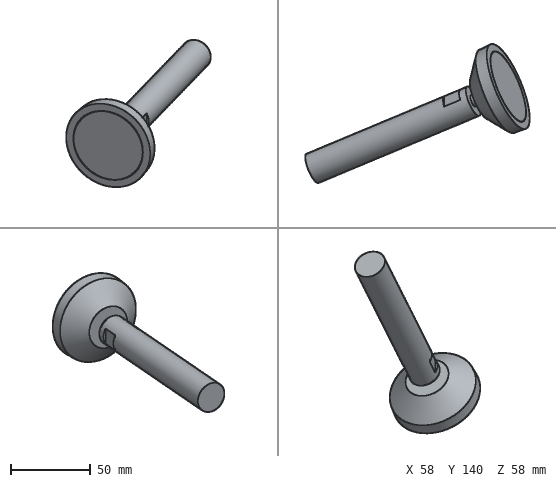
import cadquery as cq

total_length = 140.0

foot_diameter = 58.0
rim_top_diameter = 57.1
cone_top_diameter = 28.5
rim_height = 8.1
foot_height = 20.0

neck_diameter = 7.8
flare_diameter = 10.6
flare_height = 1.1

stem_diameter = 20.0
stem_start = 25.0
across_flats = 17.0
flat_start = 30.0
flat_length = 11.5

pad_diameter = 47.5
recess_diameter = 48.0
pad_thickness = 2.8


def make_disc(diameter, thickness):
    """Disc on the Y axis, from y = 0 upwards."""
    return cq.Workplane("XZ").circle(diameter / 2).extrude(-thickness)


def make_turned_body():
    """Foot, neck and stem as one profile revolved about Y."""
    profile = [
        (0, 0),
        (foot_diameter / 2, 0),
        (rim_top_diameter / 2, rim_height),
        (cone_top_diameter / 2, foot_height),
        (flare_diameter / 2, foot_height),
        (neck_diameter / 2, foot_height + flare_height),
        (neck_diameter / 2, stem_start),
        (stem_diameter / 2, stem_start),
        (stem_diameter / 2, total_length),
        (0, total_length),
    ]
    return cq.Workplane("XY").polyline(profile).close().revolve(360, (0, 0, 0), (0, 1, 0))


def cut_wrench_flats(body):
    """Cut one flat on each X side of the stem."""
    cutter_width = stem_diameter
    cutter_offset = (across_flats + cutter_width) / 2
    for side in (-1, 1):
        cutter = cq.Workplane("XY").box(cutter_width, flat_length, stem_diameter).translate(
            (side * cutter_offset, flat_start + flat_length / 2, 0)
        )
        body = body.cut(cutter)
    return body


def make_foot():
    """Foot with stem, wrench flats and pad recess."""
    body = cut_wrench_flats(make_turned_body())
    return body.cut(make_disc(recess_diameter, pad_thickness))


def make_pad():
    """Pad flush with the underside of the foot, with clearance around its edge."""
    return make_disc(pad_diameter, pad_thickness)


foot = make_foot()
pad = make_pad()

result = cq.Compound.makeCompound([foot.val(), pad.val()])